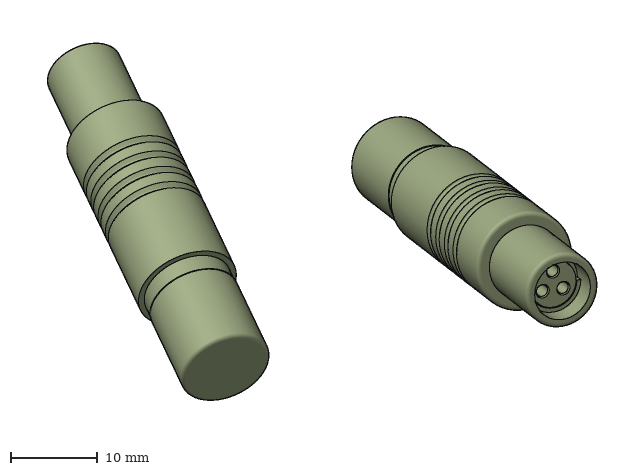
import cadquery as cq
import math

total_length = 49.0
edge_round = 0.5

sleeve_length = 10.8
sleeve_radius = 4.5
socket_radius = 3.5
socket_depth = 2.75

body_end = 35.75
body_radius = 6.0

neck_end = 38.0
neck_radius = 5.3
barrel_radius = 5.4

groove_count = 4
groove_start = 16.9
groove_pitch = 2.5
groove_width = 1.0
groove_flank_angle = math.radians(30)

insert_radius = 2.9
half_sleeve_inner_radius = 3.0
gap_depth = 1.0

contact_count = 3
contact_circle_radius = 1.5
contact_mouth_radius = 0.83
contact_mouth_depth = 0.2
contact_hole_radius = 0.7
contact_hole_depth = 4.0


def axial_cylinder(start, length, radius):
    """Cylinder on the X axis that begins at X = start."""
    return cq.Workplane("YZ", origin=(start, 0, 0)).circle(radius).extrude(length)


def axial_ring(start, length, outer_radius, inner_radius):
    """Ring on the X axis that begins at X = start."""
    return cq.Workplane("YZ", origin=(start, 0, 0)).circle(outer_radius).circle(inner_radius).extrude(length)


def make_shell():
    """Solid stepped shaft with its outer end edges rounded."""
    sleeve = axial_cylinder(0, sleeve_length, sleeve_radius).faces("<X").edges().fillet(edge_round)
    body = axial_cylinder(sleeve_length, body_end - sleeve_length, body_radius)
    body = body.faces("<X").edges().fillet(edge_round)
    neck = axial_cylinder(body_end, neck_end - body_end, neck_radius)
    barrel = axial_cylinder(neck_end, total_length - neck_end, barrel_radius)
    barrel = barrel.faces(">X").edges().fillet(edge_round)
    return sleeve.union(body).union(neck).union(barrel)


def make_groove(start):
    """Revolved groove cutter; the bottom arc is centred on the body surface."""
    bottom_radius = groove_width / (1 + 1 / math.sin(groove_flank_angle))
    end = start + groove_width
    arc_center = end - bottom_radius
    tangent_point = (
        arc_center - bottom_radius * math.sin(groove_flank_angle),
        body_radius - bottom_radius * math.cos(groove_flank_angle),
    )
    lowest_point = (arc_center, body_radius - bottom_radius)
    clear_radius = body_radius + groove_width
    return (
        cq.Workplane("XY")
        .moveTo(start, body_radius)
        .lineTo(*tangent_point)
        .threePointArc(lowest_point, (end, body_radius))
        .lineTo(end, clear_radius)
        .lineTo(start, clear_radius)
        .close()
        .revolve(360, (0, 0, 0), (1, 0, 0))
    )


def make_insert_gap():
    """Gap around the insert: wide above the axis, a thin slit below it."""
    wide_ring = axial_ring(socket_depth, gap_depth, socket_radius, insert_radius)
    upper_half = cq.Workplane("XY").box(
        total_length, 2 * body_radius, body_radius, centered=(False, True, False)
    )
    slit = axial_ring(socket_depth, gap_depth, half_sleeve_inner_radius, insert_radius)
    return wide_ring.intersect(upper_half).union(slit)


def make_contact_hole(index):
    """Blind hole with a tapered mouth in the insert face; the first one is straight above the axis."""
    angle = math.pi / 2 + index * 2 * math.pi / contact_count
    y = contact_circle_radius * math.cos(angle)
    z = contact_circle_radius * math.sin(angle)
    mouth = cq.Workplane(
        cq.Solid.makeCone(
            contact_mouth_radius,
            contact_hole_radius,
            contact_mouth_depth,
            cq.Vector(socket_depth, 0, 0),
            cq.Vector(1, 0, 0),
        )
    )
    hole = axial_cylinder(socket_depth, contact_hole_depth, contact_hole_radius)
    return mouth.union(hole).translate((0, y, z))


result = make_shell()
for groove_index in range(groove_count):
    result = result.cut(make_groove(groove_start + groove_index * groove_pitch))
result = result.cut(axial_cylinder(0, socket_depth, socket_radius))
result = result.cut(make_insert_gap())
for contact_index in range(contact_count):
    result = result.cut(make_contact_hole(contact_index))